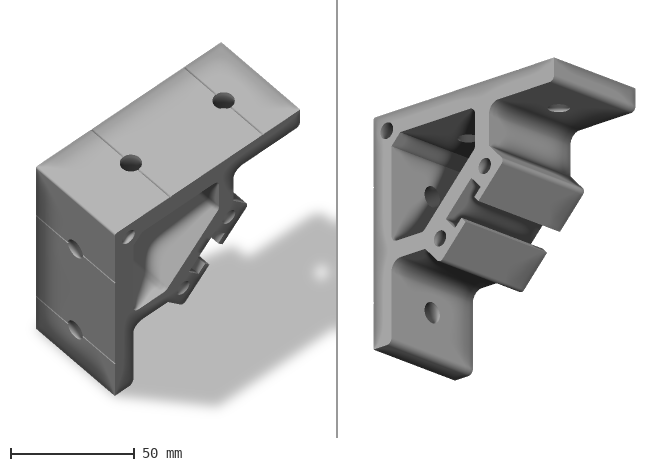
import cadquery as cq
import math

width = 48.0
leg_length = 100.0
leg_thickness = 10.0
outer_corner_fillet = 1.0
tip_fillet = 2.5

web_outer = 64.0
web_inner = 56.3
web_root_fillet = 5.0

cavity_corner_chamfer = 4.8
cavity_fillet = 3.0
diagonal_fillet = 3.0

block_inner = 59.3
block_outer = 77.2
block_half_width = 25.0
block_fillet = 2.0

slot_floor = 66.6
slot_lip = 73.9
slot_half_width = 10.0
slot_mouth_half_width = 5.0
cut_clearance = 1.0

corner_hole_diameter = 7.0
corner_hole_offset = 7.4
block_hole_diameter = 6.8
block_hole_distance = 69.6
block_hole_half_spacing = 17.5

bolt_hole_diameter = 9.0
bolt_positions = (30.0, 80.0)
groove_width = 0.8
groove_depth = 0.4


def from_bisector(along, across):
    """Turn distances along and across the leg bisector into distances along the two legs."""
    return (along + across) / math.sqrt(2), (along - across) / math.sqrt(2)


def prism(points):
    """Extrude a closed outline over the full width; points are distances from the outer corner."""
    outline = [(y, -z) for y, z in points]
    return cq.Workplane("YZ").polyline(outline).close().extrude(width / 2, both=True)


def corner_slab(y_end, z_end):
    """Rectangular prism with one edge on the outer corner."""
    return prism([(0, 0), (y_end, 0), (y_end, z_end), (0, z_end)])


def bisector_block(start, end, half_width):
    """Rectangular prism square to the leg bisector."""
    corners = [(start, -half_width), (start, half_width), (end, half_width), (end, -half_width)]
    return prism([from_bisector(along, across) for along, across in corners])


def round_edges(body, points, radius):
    """Fillet the edges parallel to X that pass through the given points."""
    for y, z in points:
        body = body.edges(cq.selectors.NearestToPointSelector((0, y, -z))).fillet(radius)
    return body


def mirrored(y, z):
    """A point and its reflection in the leg bisector."""
    return [(y, z), (z, y)]


def make_leg():
    """Leg along Y, with its inner tip edge rounded."""
    leg = corner_slab(leg_length, leg_thickness)
    return round_edges(leg, [(leg_length, leg_thickness)], tip_fillet)


def make_upright():
    """Leg along Z, with its inner tip edge rounded."""
    leg = corner_slab(leg_thickness, leg_length)
    return round_edges(leg, [(leg_thickness, leg_length)], tip_fillet)


def make_brace():
    """Solid between the legs out to the webs, joined to the diagonal block."""
    web_end = web_outer - block_half_width * math.sqrt(2)
    core = prism([(0, 0), (web_outer, 0), (web_outer, web_end), (web_end, web_outer), (0, web_outer)])
    block = bisector_block(block_inner, block_outer, block_half_width)
    block_corners = [from_bisector(block_outer, side * block_half_width) for side in (-1, 1)]
    return core.union(round_edges(block, block_corners, block_fillet))


def make_cavity():
    chamfered = leg_thickness + cavity_corner_chamfer
    diagonal_end = block_inner * math.sqrt(2) - web_inner
    cavity = prism([
        (chamfered, leg_thickness),
        (web_inner, leg_thickness),
        (web_inner, diagonal_end),
        (diagonal_end, web_inner),
        (leg_thickness, web_inner),
        (leg_thickness, chamfered),
    ])
    cavity = round_edges(cavity, mirrored(web_inner, leg_thickness), cavity_fillet)
    return round_edges(cavity, mirrored(web_inner, diagonal_end), diagonal_fillet)


def make_t_slot():
    pocket = bisector_block(slot_floor, slot_lip, slot_half_width)
    mouth = bisector_block(slot_floor, block_outer + cut_clearance, slot_mouth_half_width)
    return pocket.union(mouth)


def make_long_holes():
    """Holes through the full width: one at the corner, two in the diagonal block."""
    corner = cq.Workplane("YZ").center(corner_hole_offset, -corner_hole_offset)
    holes = corner.circle(corner_hole_diameter / 2).extrude(width / 2, both=True)
    for side in (-1, 1):
        y, z = from_bisector(block_hole_distance, side * block_hole_half_spacing)
        hole = cq.Workplane("YZ").center(y, -z).circle(block_hole_diameter / 2)
        holes = holes.union(hole.extrude(width / 2, both=True))
    return holes


def groove(position):
    """V-groove across the top face of the leg along Y."""
    return prism([
        (position - groove_width / 2, 0),
        (position, groove_depth),
        (position + groove_width / 2, 0),
    ])


def upright_groove(position):
    """V-groove across the outer face of the leg along Z."""
    return prism([
        (0, position - groove_width / 2),
        (groove_depth, position),
        (0, position + groove_width / 2),
    ])


def bolt_hole(plane, position):
    """Bolt hole through one leg, drilled from its outer face at a signed distance from the corner."""
    hole = cq.Workplane(plane).center(0, position).circle(bolt_hole_diameter / 2)
    return hole.extrude(-leg_thickness)


result = make_leg().union(make_upright()).union(make_brace())
result = round_edges(result, mirrored(web_outer, leg_thickness), web_root_fillet)
result = result.edges(cq.selectors.NearestToPointSelector((0, 0, 0))).fillet(outer_corner_fillet)
result = result.cut(make_cavity()).cut(make_t_slot()).cut(make_long_holes())

for position in bolt_positions:
    result = result.cut(groove(position)).cut(upright_groove(position))
    result = result.cut(bolt_hole("XY", position)).cut(bolt_hole("XZ", -position))